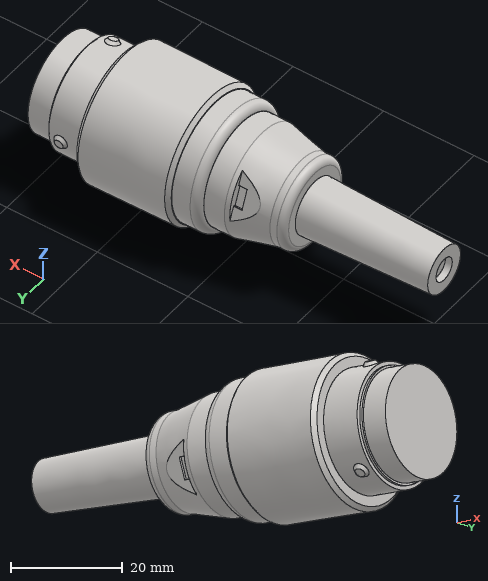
import cadquery as cq

cable_end = 0.0
sleeve_start = 28.6
sleeve_cone_start = 31.65
sleeve_cone_end = 40.3
collar_start = 44.8
body_start = 50.6
body_end = 71.3
barrel_end = 78.9
nose_start = 79.4
nose_end = 84.4

cable_tip_diameter = 10.1
cable_root_diameter = 11.9
bore_diameter = 5.0
sleeve_front_diameter = 19.0
sleeve_diameter = 23.0
collar_diameter = 26.5
body_front_diameter = 28.5
body_diameter = 28.95
barrel_diameter = 23.4
neck_diameter = 21.9
nose_diameter = 21.0

sleeve_fillet = 1.5
collar_fillet = 1.8
body_chamfer = 0.85

bore_depth = 1.5

flat_end = 39.25
flat_distance = 10.05
flat_tilt = 22.0
pocket_length = 1.85
pocket_width = 4.2
pocket_depth = 0.5

pin_count = 3
pin_x = 76.4
pin_base_diameter = 3.3
pin_top_diameter = 1.9
pin_base_radius = 11.5
pin_top_radius = 12.3
pin_root_radius = 10.1
first_pin_angle = 112.0


def frustum(start, end, start_diameter, end_diameter):
    """Solid of revolution about X between two stations."""
    return (
        cq.Workplane("XY")
        .moveTo(start, 0)
        .lineTo(start, start_diameter / 2)
        .lineTo(end, end_diameter / 2)
        .lineTo(end, 0)
        .close()
        .revolve(360, (0, 0, 0), (1, 0, 0))
    )


def cylinder(start, end, diameter):
    return frustum(start, end, diameter, diameter)


def make_sleeve():
    front = cylinder(sleeve_start, sleeve_cone_start, sleeve_front_diameter)
    front = front.faces("<X").edges().fillet(sleeve_fillet)
    cone = frustum(sleeve_cone_start, sleeve_cone_end, sleeve_front_diameter, sleeve_diameter)
    rear = cylinder(sleeve_cone_end, collar_start, sleeve_diameter)
    return front.union(cone).union(rear)


def make_flat_cutter():
    """Cutter for the flat on the +Y side, before it is tilted about X."""
    length = flat_end - sleeve_cone_start
    flat = cq.Workplane("XY").box(length, body_diameter, body_diameter, centered=(False, False, True))
    flat = flat.translate((sleeve_cone_start, flat_distance, 0))
    pocket = cq.Workplane("XY").box(
        pocket_length, pocket_depth, pocket_width, centered=(False, False, True)
    )
    pocket = pocket.translate((flat_end - pocket_length, flat_distance - pocket_depth, 0))
    return flat.union(pocket)


def make_pin(angle):
    """Tapered pin standing radially, at an angle measured from +Y towards +Z."""
    pin = (
        cq.Workplane("XY")
        .moveTo(0, pin_root_radius)
        .lineTo(pin_base_diameter / 2, pin_root_radius)
        .lineTo(pin_base_diameter / 2, pin_base_radius)
        .lineTo(pin_top_diameter / 2, pin_top_radius)
        .lineTo(0, pin_top_radius)
        .close()
        .revolve(360, (0, 0, 0), (0, 1, 0))
    )
    return pin.translate((pin_x, 0, 0)).rotate((0, 0, 0), (1, 0, 0), angle)


cable = frustum(cable_end, sleeve_start, cable_tip_diameter, cable_root_diameter)
bore = cylinder(cable_end, bore_depth, bore_diameter)
sleeve = make_sleeve()
for side_angle in (flat_tilt, flat_tilt + 180):
    sleeve = sleeve.cut(make_flat_cutter().rotate((0, 0, 0), (1, 0, 0), side_angle))

collar = cylinder(collar_start, body_start, collar_diameter)
collar = collar.faces("<X").edges().fillet(collar_fillet)
body = frustum(body_start, body_end, body_front_diameter, body_diameter)
body = body.faces("<X or >X").edges().chamfer(body_chamfer)

barrel = cylinder(body_end, barrel_end, barrel_diameter)
neck = cylinder(barrel_end, nose_start, neck_diameter)
nose = cylinder(nose_start, nose_end, nose_diameter)

result = cable.cut(bore)
for section in (sleeve, collar, body, barrel, neck, nose):
    result = result.union(section)
for i in range(pin_count):
    result = result.union(make_pin(first_pin_angle + i * 360 / pin_count))